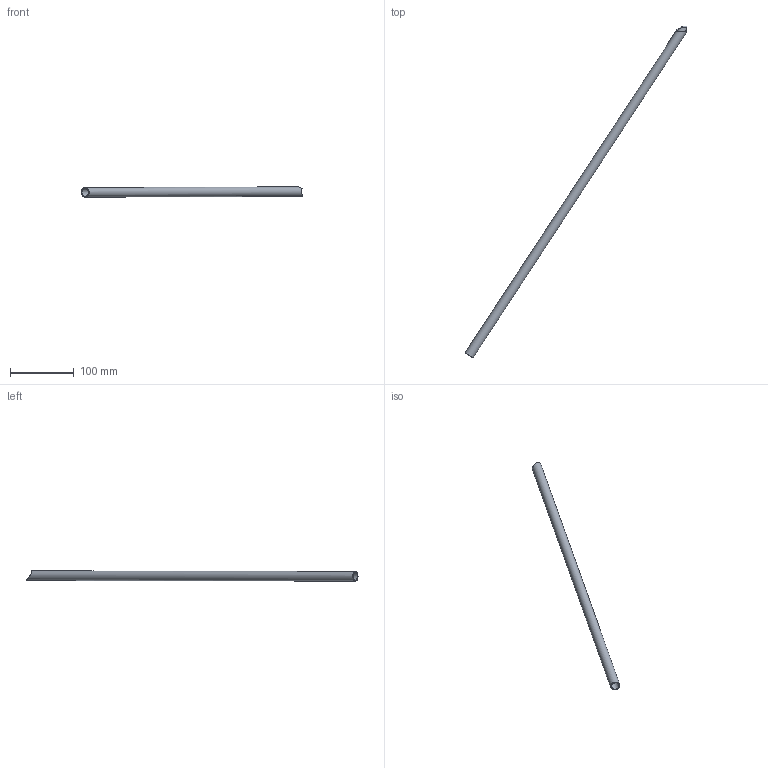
import cadquery as cq
import math

outer_diameter = 15.0
wall_thickness = 1.5
heading = math.radians(33.27)
climb = math.radians(0.105)

x_frame_radius = 26.0
x_frame_y = 532.75
x_frame_z = 14.0

y_frame_radius = 13.5
y_frame_x = 353.2
y_frame_z = 1.1

axis = cq.Vector(
    math.cos(climb) * math.sin(heading),
    math.cos(climb) * math.cos(heading),
    math.sin(climb),
)
blank_length = x_frame_y / axis.y
cutter_half_length = 2 * (x_frame_radius + y_frame_radius)


def brace_tube():
    """Hollow tube with a square end at the origin."""
    across = cq.Vector(math.cos(heading), -math.sin(heading), 0)
    end_plane = cq.Plane(origin=(0, 0, 0), xDir=across, normal=axis)
    outer_radius = outer_diameter / 2
    return (
        cq.Workplane(end_plane)
        .circle(outer_radius)
        .circle(outer_radius - wall_thickness)
        .extrude(blank_length)
    )


def frame_cylinder(center, direction, radius):
    """Solid cylinder standing for a frame tube at the coped corner."""
    plane = cq.Plane(origin=center, normal=direction)
    return cq.Workplane(plane).circle(radius).extrude(cutter_half_length, both=True)


x_frame = frame_cylinder((y_frame_x, x_frame_y, x_frame_z), (1, 0, 0), x_frame_radius)
y_frame = frame_cylinder((y_frame_x, x_frame_y, y_frame_z), (0, 1, 0), y_frame_radius)

result = brace_tube().cut(x_frame).cut(y_frame)